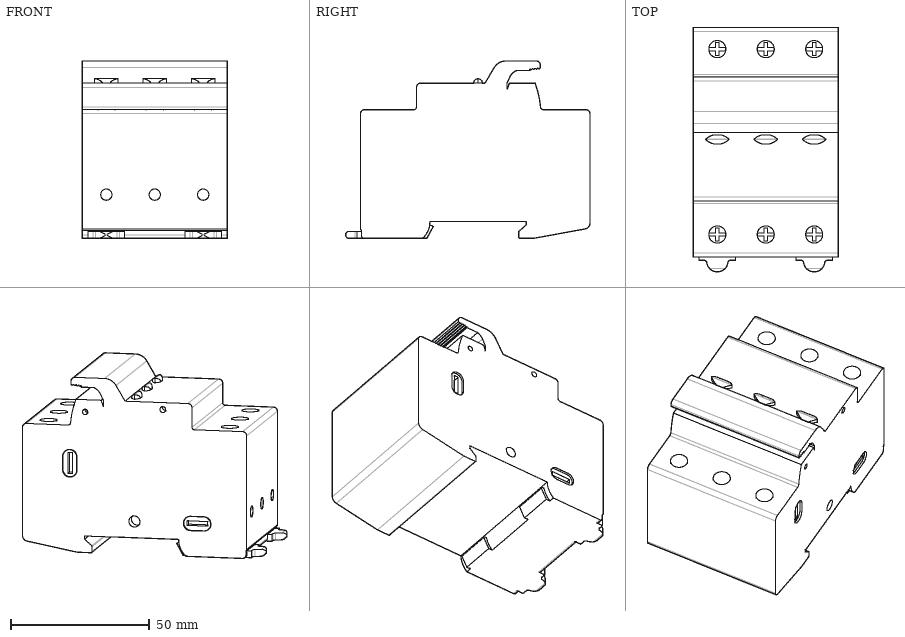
import cadquery as cq


POLES = 3
WIDTH = 52.5
OVERALL_LENGTH = 88.35
POLE_PITCH = WIDTH / POLES
DEPTH = 83.0
SHOULDER_Z = 46.6
NOSE_Z = 56.1
NOSE_FRONT_Y = 20.2
NOSE_BACK_Y = 65.2
NOSE_BACK_BULGE_Y = 64.1
NOSE_BACK_BULGE_Z = 53.0
NOSE_BACK_TOP_Y = 63.2
OUTER_RADIUS = 1.5
STEP_RADIUS = 0.9

TOE_SETBACK = 0.35
TOE_Z = 2.8
TOE_SLOPE_HEIGHT = 0.5
TOE_RADIUS = 1.15

RAIL_ROOF_Z = 6.1
RAIL_FRONT_Y = 25.2
RAIL_FRONT_BULGE = (24.4, 2.65)
RAIL_FRONT_FOOT_Y = 22.4
RAIL_BACK_Y = 59.9
RAIL_HOOK_Y = 57.2
RAIL_HOOK_Z = 2.5
RAIL_HOOK_ROOT_Z = 4.95
RAIL_HOOK_RADIUS = 0.4
SLOPE_FOOT_Y = 62.6
SLOPE_TOP_Z = 3.7
SLOPE_RADIUS = 2.2

HANDLE_Z = 64.1
HANDLE_TIP_Y = 65.0
HANDLE_TIP_BOTTOM_Z = 61.6
GRIP_STEP_Y = 61.2
GRIP_STEP_TOP_Z = 61.2
GRIP_TEETH = 4
GRIP_TOOTH_DEPTH = 0.35
HANDLE_UNDERSIDE_Z = 60.6
HANDLE_FRONT_FOOT_Y = 45.0
HANDLE_FRONT_TOP_Y = 49.7
HANDLE_FRONT_RADIUS = 4.95
THROAT_START_Y = 56.45
THROAT_BULGE = (55.1, 59.8)
THROAT_END = (54.25, 58.75)
SLIT_FRONT_Y = 53.0
SLIT_BACK_Y = 53.8
SLIT_BOTTOM_Z = 53.9

SCREW_HOLE_DIAMETER = 6.2
SCREW_HOLE_DEPTH = 8.8
SCREW_ROW_Y = (8.1, 75.1)
CROSS_LENGTH = 5.9
CROSS_HEIGHT = 4.7
CROSS_ARM = 1.2
CROSS_DEPTH = 0.9

MARK_DIAMETER = 4.1
MARK_DEPTH = 0.1
MARK_Z = 15.8

SIDE_HOLES = (
    (41.5, 12.1, 4.1, 4.4),
    (59.7, 51.6, 1.9, 4.4),
    (31.0, 53.5, 2.1, 4.4),
)
SIDE_RECESSES = (
    (65.5, 32.5, 90),
    (18.4, 12.1, 0),
)
RECESS_LENGTH = 10.1
RECESS_WIDTH = 5.2
RECESS_DEPTH = 0.8
SLIT_LENGTH = 7.6
SLIT_WIDTH = 1.7
SLIT_DEPTH = 2.65

INDICATOR_Y = 42.5
INDICATOR_HEIGHT = 1.6
INDICATOR_RADIUS = 1.55
INDICATOR_CREST = 0.1
INDICATOR_WIDTH = 2 * INDICATOR_RADIUS + INDICATOR_CREST
INDICATOR_HALF_LENGTH = 4.2
INDICATOR_HALF_WIDTH = 1.8

CLIP_WIDTH = 13.25
CLIP_THICKNESS = 2.6
CLIP_SHOULDER_Y = -1.2
CLIP_TIP_Y = DEPTH - OVERALL_LENGTH
CLIP_LOBE_RADIUS = 3.9
CLIP_NECK_RADIUS = 0.9
CLIP_ROOT_Y = 8.8
CLIP_JAW_OUTLINE = (
    (24.0, 0),
    (26.3, 4.2),
    (25.7, 4.7),
    (22.1, 4.7),
    (22.1, 0),
)

pole_x = [POLE_PITCH * (i - (POLES - 1) / 2) for i in range(POLES)]


def round_edge(body, y, z, radius):
    """Round the full-width edge that runs along X at the given Y and Z."""
    edge = body.edges("|X").edges(cq.NearestToPointSelector((0, y, z)))
    return edge.fillet(radius)


def grip_points():
    """Sawtooth points under the handle tip, from the tip to the step."""
    y_pitch = (GRIP_STEP_Y - HANDLE_TIP_Y) / GRIP_TEETH
    z_pitch = (GRIP_STEP_TOP_Z - HANDLE_TIP_BOTTOM_Z) / GRIP_TEETH
    points = []
    for tooth in range(GRIP_TEETH):
        crest_y = HANDLE_TIP_Y + (tooth + 0.5) * y_pitch
        crest_z = HANDLE_TIP_BOTTOM_Z + (tooth + 0.5) * z_pitch - GRIP_TOOTH_DEPTH
        valley_y = HANDLE_TIP_Y + (tooth + 1) * y_pitch
        valley_z = HANDLE_TIP_BOTTOM_Z + (tooth + 1) * z_pitch
        points += [(crest_y, crest_z), (valley_y, valley_z)]
    return points


def make_housing():
    """Extrude the side outline, handle included, and round its edges."""
    outline = (
        cq.Workplane("YZ", origin=(-WIDTH / 2, 0, 0))
        .moveTo(TOE_SETBACK, 0)
        .lineTo(TOE_SETBACK, TOE_Z)
        .lineTo(0, TOE_Z + TOE_SLOPE_HEIGHT)
        .lineTo(0, SHOULDER_Z)
        .lineTo(NOSE_FRONT_Y, SHOULDER_Z)
        .lineTo(NOSE_FRONT_Y, NOSE_Z)
        .lineTo(HANDLE_FRONT_FOOT_Y, NOSE_Z)
        .lineTo(HANDLE_FRONT_TOP_Y, HANDLE_Z)
        .lineTo(HANDLE_TIP_Y, HANDLE_Z)
        .lineTo(HANDLE_TIP_Y, HANDLE_TIP_BOTTOM_Z)
        .polyline(grip_points(), includeCurrent=True)
        .lineTo(GRIP_STEP_Y, HANDLE_UNDERSIDE_Z)
        .lineTo(THROAT_START_Y, HANDLE_UNDERSIDE_Z)
        .threePointArc(THROAT_BULGE, THROAT_END)
        .lineTo(SLIT_FRONT_Y, NOSE_Z)
        .lineTo(SLIT_FRONT_Y, SLIT_BOTTOM_Z)
        .lineTo(SLIT_BACK_Y, NOSE_Z)
        .lineTo(NOSE_BACK_TOP_Y, NOSE_Z)
        .threePointArc((NOSE_BACK_BULGE_Y, NOSE_BACK_BULGE_Z), (NOSE_BACK_Y, SHOULDER_Z))
        .lineTo(DEPTH, SHOULDER_Z)
        .lineTo(DEPTH, SLOPE_TOP_Z)
        .lineTo(SLOPE_FOOT_Y, 0)
        .lineTo(RAIL_HOOK_Y, 0)
        .lineTo(RAIL_HOOK_Y, RAIL_HOOK_Z)
        .lineTo(RAIL_BACK_Y, RAIL_HOOK_ROOT_Z)
        .lineTo(RAIL_BACK_Y, RAIL_ROOF_Z)
        .lineTo(RAIL_FRONT_Y, RAIL_ROOF_Z)
        .threePointArc(RAIL_FRONT_BULGE, (RAIL_FRONT_FOOT_Y, 0))
        .close()
    )
    body = outline.extrude(WIDTH)
    rounded_edges = (
        (TOE_SETBACK, 0, TOE_RADIUS),
        (RAIL_HOOK_Y, 0, RAIL_HOOK_RADIUS),
        (RAIL_HOOK_Y, RAIL_HOOK_Z, RAIL_HOOK_RADIUS),
        (0, SHOULDER_Z, OUTER_RADIUS),
        (NOSE_FRONT_Y, SHOULDER_Z, STEP_RADIUS),
        (NOSE_FRONT_Y, NOSE_Z, OUTER_RADIUS),
        (HANDLE_FRONT_TOP_Y, HANDLE_Z, HANDLE_FRONT_RADIUS),
        (HANDLE_TIP_Y, HANDLE_Z, OUTER_RADIUS),
        (NOSE_BACK_Y, SHOULDER_Z, STEP_RADIUS),
        (DEPTH, SHOULDER_Z, OUTER_RADIUS),
        (DEPTH, SLOPE_TOP_Z, SLOPE_RADIUS),
    )
    for y, z, radius in rounded_edges:
        body = round_edge(body, y, z, radius)
    return body


def make_screw_holes():
    """Terminal holes with a cross recess sunk in each floor."""
    centres = [(x, y) for x in pole_x for y in SCREW_ROW_Y]
    top = cq.Workplane("XY", origin=(0, 0, SHOULDER_Z)).pushPoints(centres)
    floor = cq.Workplane("XY", origin=(0, 0, SHOULDER_Z - SCREW_HOLE_DEPTH)).pushPoints(centres)
    holes = top.circle(SCREW_HOLE_DIAMETER / 2).extrude(-SCREW_HOLE_DEPTH)
    long_arms = floor.rect(CROSS_LENGTH, CROSS_ARM).extrude(-CROSS_DEPTH)
    short_arms = floor.rect(CROSS_ARM, CROSS_HEIGHT).extrude(-CROSS_DEPTH)
    return holes.union(long_arms).union(short_arms)


def make_front_marks():
    """Shallow round marks in the front wall, one per pole."""
    wall = cq.Workplane("XZ").pushPoints([(x, MARK_Z) for x in pole_x])
    return wall.circle(MARK_DIAMETER / 2).extrude(-MARK_DEPTH)


def make_side_cuts():
    """Blind round holes and slotted recesses in the -X wall."""
    wall = cq.Workplane("YZ", origin=(-WIDTH / 2, 0, 0))
    cuts = cq.Workplane("YZ")
    for y, z, diameter, depth in SIDE_HOLES:
        cuts = cuts.add(wall.center(y, z).circle(diameter / 2).extrude(depth))
    for y, z, angle in SIDE_RECESSES:
        place = wall.center(y, z)
        recess = place.slot2D(RECESS_LENGTH, RECESS_WIDTH, angle).extrude(RECESS_DEPTH)
        slit = place.transformed(rotate=(0, 0, angle)).rect(SLIT_LENGTH, SLIT_WIDTH)
        cuts = cuts.add(recess.union(slit.extrude(RECESS_DEPTH + SLIT_DEPTH)))
    return cuts.combine()


def make_indicator(x):
    """Round-topped bar along X trimmed to a lens-shaped footprint."""
    bar = (
        cq.Workplane("XY", origin=(x, INDICATOR_Y, NOSE_Z))
        .rect(2 * INDICATOR_HALF_LENGTH, INDICATOR_WIDTH)
        .extrude(INDICATOR_HEIGHT)
        .edges(">Z and |X")
        .fillet(INDICATOR_RADIUS)
    )
    lens = (
        cq.Workplane("XY", origin=(x, INDICATOR_Y, NOSE_Z))
        .moveTo(-INDICATOR_HALF_LENGTH, 0)
        .threePointArc((0, INDICATOR_HALF_WIDTH), (INDICATOR_HALF_LENGTH, 0))
        .threePointArc((0, -INDICATOR_HALF_WIDTH), (-INDICATOR_HALF_LENGTH, 0))
        .close()
        .extrude(INDICATOR_HEIGHT)
    )
    return bar.intersect(lens)


def make_clip(x):
    """Rail clip: pull tab in front of the housing and jaw inside the rail recess."""
    plate_length = CLIP_ROOT_Y - CLIP_SHOULDER_Y
    plate = (
        cq.Workplane("XY", origin=(x, CLIP_SHOULDER_Y + plate_length / 2, 0))
        .rect(CLIP_WIDTH, plate_length)
        .extrude(CLIP_THICKNESS)
    )
    lobe = (
        cq.Workplane("XY", origin=(x, CLIP_TIP_Y + CLIP_LOBE_RADIUS, 0))
        .circle(CLIP_LOBE_RADIUS)
        .extrude(CLIP_THICKNESS)
    )
    tab = plate.union(lobe)
    for side in (-1, 1):
        neck_x = x + side * CLIP_LOBE_RADIUS
        neck = cq.NearestToPointSelector((neck_x, CLIP_SHOULDER_Y, CLIP_THICKNESS / 2))
        tab = tab.edges("|Z").edges(neck).fillet(CLIP_NECK_RADIUS)
    nose_radius = CLIP_THICKNESS / 2
    nose_start_y = CLIP_TIP_Y + nose_radius
    envelope = (
        cq.Workplane("YZ", origin=(x - CLIP_WIDTH / 2, 0, 0))
        .moveTo(CLIP_ROOT_Y, 0)
        .lineTo(nose_start_y, 0)
        .threePointArc((CLIP_TIP_Y, nose_radius), (nose_start_y, CLIP_THICKNESS))
        .lineTo(CLIP_ROOT_Y, CLIP_THICKNESS)
        .close()
        .extrude(CLIP_WIDTH)
    )
    jaw = (
        cq.Workplane("YZ", origin=(x - CLIP_WIDTH / 2, 0, 0))
        .polyline(CLIP_JAW_OUTLINE)
        .close()
        .extrude(CLIP_WIDTH)
    )
    return tab.intersect(envelope), jaw


result = make_housing()
result = result.cut(make_screw_holes()).cut(make_front_marks()).cut(make_side_cuts())
for x in pole_x:
    result = result.union(make_indicator(x))
for x in (pole_x[0], pole_x[-1]):
    tab, jaw = make_clip(x)
    result = result.union(tab).union(jaw)